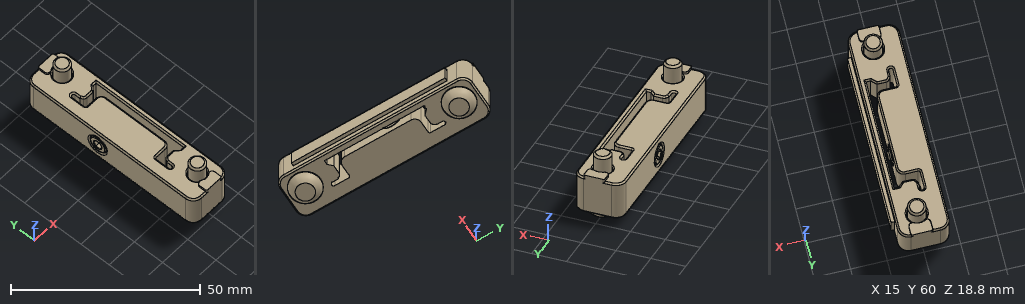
import cadquery as cq
import math


length = 60.0
width = 14.0
height = 11.0
bolt_line_to_back = 8.0
corner_radius = 3.0
edge_chamfer = 0.5
back_x = -bolt_line_to_back
front_x = back_x + width
mid_x = (back_x + front_x) / 2
mid_z = height / 2

bolt_y = 24.0
bolt_diameter = 5.0
bolt_rise = 5.0
bolt_tip_chamfer = 0.6
head_diameter = 9.5
head_flat_diameter = 5.4
head_height = 2.75
head_rim = 0.35
head_bulge = 0.3
bolt_hole_diameter = 5.4
bolt_hole_chamfer = 0.35

tab_width = 6.0
tab_depth = 3.5
tab_height = 0.7
tab_inner_radius = 1.0
tab_outer_radius = 0.5

slot_back_x = -3.7
slot_end_y = 17.75
finger_width = 1.2
finger_shoulder_y = 15.4
tooth_back_x = -1.7
tooth_front_x = 1.45
tooth_y = 14.2
tooth_corner_radius = 1.0
tooth_slope = 1.3
slot_front_x = 4.0
tongue_x = 2.2
tongue_y = 12.3
tongue_corner_radius = 2.0
slot_corner_radius = 0.5

screw_y = 4.25
screw_diameter = 5.5
screw_hole_diameter = 6.0
screw_chamfer = 0.25
screw_hole_chamfer = 0.4
dog_diameter = 3.0
dog_length = 0.9
dog_chamfer = 0.5
socket_corner_diameter = 2.9
socket_mouth_diameter = 3.0
socket_depth = 2.5
socket_mouth_angle = 30.0

plate_length = 48.0
plate_height = 6.0
plate_thickness = 1.0


def make_block():
    """Rounded block, chamfered around its underside."""
    block = cq.Workplane("XY").box(width, length, height, centered=(True, True, False))
    block = block.translate((mid_x, 0, 0))
    block = block.edges("|Z").fillet(corner_radius)
    return block.faces("<Z").edges().chamfer(edge_chamfer)


def half_slot():
    """The +Y half of the slot, from the mid plane to its narrow end."""
    finger_radius = finger_width / 2
    finger_front_x = slot_back_x + finger_width
    arc_y = slot_end_y - finger_radius
    shoulder_y = tooth_y + tooth_slope
    outline = (
        cq.Workplane("XY")
        .moveTo(tongue_x, 0)
        .lineTo(tongue_x, tongue_y)
        .lineTo(slot_back_x, tongue_y)
        .lineTo(slot_back_x, arc_y)
        .threePointArc((slot_back_x + finger_radius, slot_end_y), (finger_front_x, arc_y))
        .lineTo(finger_front_x, finger_shoulder_y)
        .lineTo(tooth_back_x, tooth_y)
        .lineTo(tooth_front_x, tooth_y)
        .lineTo(tooth_front_x + tooth_slope, shoulder_y)
        .lineTo(slot_front_x, shoulder_y)
        .lineTo(slot_front_x, 0)
        .close()
    )
    slot = outline.extrude(height)
    tongue_corner = cq.selectors.NearestToPointSelector((tongue_x, tongue_y, mid_z))
    slot = slot.edges(tongue_corner).fillet(tongue_corner_radius)
    tooth_corner = cq.selectors.NearestToPointSelector((tooth_back_x, tooth_y, mid_z))
    slot = slot.edges(tooth_corner).fillet(tooth_corner_radius)
    slot_corner = cq.selectors.NearestToPointSelector((slot_back_x, tongue_y, mid_z))
    return slot.edges(slot_corner).fillet(slot_corner_radius)


def make_slot():
    """Whole slot, symmetric about Y = 0."""
    half = half_slot()
    return half.union(half.mirror("XZ")).clean()


def make_tab(side):
    """Tab at the +Y end (side 1) or the -Y end (side -1), reaching down through the edge chamfer."""
    outer_y = length / 2
    tab = (
        cq.Workplane("XY", origin=(0, outer_y - tab_depth / 2, height - edge_chamfer))
        .rect(tab_width, tab_depth)
        .extrude(edge_chamfer + tab_height)
    )
    tab = tab.edges("|Z and <Y").fillet(tab_inner_radius)
    tab = tab.edges("|Z and >Y").fillet(tab_outer_radius)
    if side < 0:
        tab = tab.mirror("XZ")
    return tab


def make_bolt_hole():
    """Clearance hole with a countersunk mouth that also clears the tab."""
    hole_radius = bolt_hole_diameter / 2
    mouth_radius = hole_radius + bolt_hole_chamfer
    clear_z = height + tab_height
    return (
        cq.Workplane("XZ")
        .polyline([
            (0, 0),
            (hole_radius, 0),
            (hole_radius, height - bolt_hole_chamfer),
            (mouth_radius, height),
            (mouth_radius, clear_z),
            (0, clear_z),
        ])
        .close()
        .revolve(360, (0, 0, 0), (0, 1, 0))
    )


def make_screw_hole():
    """Hole along X with a chamfered mouth at the -X side."""
    hole_radius = screw_hole_diameter / 2
    return (
        cq.Workplane("XY", origin=(0, screw_y, mid_z))
        .polyline([
            (back_x, 0),
            (back_x, hole_radius + screw_hole_chamfer),
            (back_x + screw_hole_chamfer, hole_radius),
            (tongue_x, hole_radius),
            (tongue_x, 0),
        ])
        .close()
        .revolve(360, (0, 0, 0), (1, 0, 0))
    )


def make_housing():
    """Housing with its slot, end tabs, bolt holes and set screw hole."""
    body = make_block().cut(make_slot())
    body = body.faces(">Z").edges().chamfer(edge_chamfer)
    for side in (1, -1):
        body = body.union(make_tab(side))
    for side in (1, -1):
        body = body.cut(make_bolt_hole().translate((0, side * bolt_y, 0)))
    return body.cut(make_screw_hole())


def make_bolt():
    """Button-head bolt on the Z axis, its head under the housing."""
    shank_radius = bolt_diameter / 2
    rim_radius = head_diameter / 2
    flat_radius = head_flat_diameter / 2
    top_z = height + bolt_rise
    dome_run = rim_radius - flat_radius
    dome_drop = head_height - head_rim
    dome_chord = math.hypot(dome_run, dome_drop)
    dome_mid = (
        (rim_radius + flat_radius) / 2 + head_bulge * dome_drop / dome_chord,
        -(head_rim + head_height) / 2 - head_bulge * dome_run / dome_chord,
    )
    return (
        cq.Workplane("XZ")
        .moveTo(0, -head_height)
        .lineTo(flat_radius, -head_height)
        .threePointArc(dome_mid, (rim_radius, -head_rim))
        .lineTo(rim_radius, 0)
        .lineTo(shank_radius, 0)
        .lineTo(shank_radius, top_z - bolt_tip_chamfer)
        .lineTo(shank_radius - bolt_tip_chamfer, top_z)
        .lineTo(0, top_z)
        .close()
        .revolve(360, (0, 0, 0), (0, 1, 0))
    )


def make_set_screw():
    """Socket set screw as long as the tongue is thick, its dog point standing out into the slot."""
    radius = screw_diameter / 2
    dog_radius = dog_diameter / 2
    tip_x = tongue_x + dog_length
    screw = (
        cq.Workplane("XY", origin=(0, screw_y, mid_z))
        .polyline([
            (back_x, 0),
            (back_x, radius - screw_chamfer),
            (back_x + screw_chamfer, radius),
            (tongue_x, radius),
            (tongue_x, dog_radius),
            (tip_x - dog_chamfer, dog_radius),
            (tip_x, dog_radius - dog_chamfer),
            (tip_x, 0),
        ])
        .close()
        .revolve(360, (0, 0, 0), (1, 0, 0))
    )
    head_plane = cq.Workplane("YZ", origin=(back_x, screw_y, mid_z))
    socket = head_plane.polygon(6, socket_corner_diameter).extrude(socket_depth)
    mouth_radius = socket_mouth_diameter / 2
    mouth_depth = mouth_radius * math.tan(math.radians(socket_mouth_angle))
    mouth_center = cq.Vector(back_x, screw_y, mid_z)
    mouth = cq.Workplane(cq.Solid.makeCone(mouth_radius, 0, mouth_depth, mouth_center, cq.Vector(1, 0, 0)))
    return screw.cut(socket).cut(mouth)


def make_plate():
    """Flat plate against the +X side of the housing."""
    plate_body = cq.Workplane("XY").box(plate_thickness, plate_length, plate_height)
    return plate_body.translate((front_x + plate_thickness / 2, 0, mid_z))


housing = make_housing()
bolts = [make_bolt().translate((0, side * bolt_y, 0)) for side in (1, -1)]
set_screw = make_set_screw()
plate = make_plate()

result = cq.Compound.makeCompound(
    [housing.val(), *[bolt.val() for bolt in bolts], set_screw.val(), plate.val()]
)